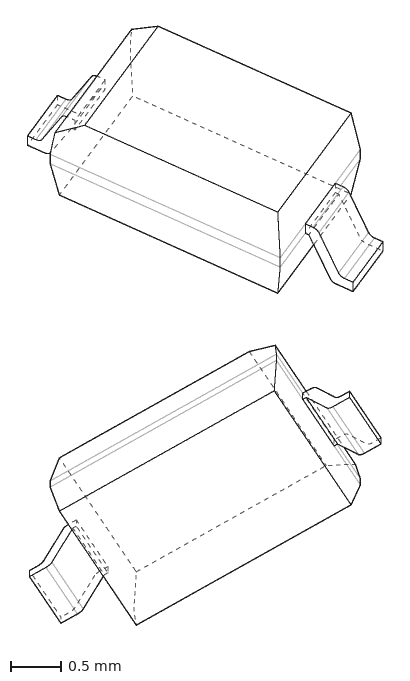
import cadquery as cq
import math

overall_length = 3.75
overall_height = 1.35

strip_thickness = 0.15
lead_width = 0.6
lead_top = 0.74
lead_slope_angle = 65.7
foot_corner_reach = 0.145
bend_radius = 0.075

housing_length = 2.65
housing_width = 1.6
housing_bottom = 0.055
taper_inset = 0.068
band_bottom = lead_top - strip_thickness

bevel_reach = 0.36
bevel_drop = 0.285
bevel_inset = taper_inset * (overall_height - bevel_drop - lead_top) / (overall_height - lead_top)


def make_tapered_half(start_z, end_z):
    """Block that narrows evenly from the band rectangle to its end face."""
    return (
        cq.Workplane("XY", origin=(0, 0, start_z))
        .rect(housing_length, housing_width)
        .workplane(offset=end_z - start_z)
        .rect(housing_length - 2 * taper_inset, housing_width - 2 * taper_inset)
        .loft(ruled=True)
    )


def make_bevel_cutter():
    """Wedge whose sloping face passes through both edges of the bevel."""
    end_x = -housing_length / 2
    slope = bevel_drop / (bevel_reach - bevel_inset)
    return (
        cq.Workplane("XZ")
        .moveTo(end_x + bevel_reach, overall_height)
        .lineTo(end_x, overall_height - slope * bevel_reach)
        .lineTo(end_x, overall_height)
        .close()
        .extrude(housing_width / 2, both=True)
    )


def make_housing():
    band = (
        cq.Workplane("XY", origin=(0, 0, band_bottom))
        .rect(housing_length, housing_width)
        .extrude(strip_thickness)
    )
    upper = make_tapered_half(lead_top, overall_height)
    lower = make_tapered_half(band_bottom, housing_bottom)
    return band.union(upper).union(lower).cut(make_bevel_cutter())


def make_lead():
    """Lead on the -X end, from its tip to the housing's end face."""
    tip_x = -overall_length / 2
    root_x = -housing_length / 2
    angle = math.radians(lead_slope_angle)

    foot_corner_x = tip_x + foot_corner_reach
    shoulder_x = foot_corner_x + (lead_top - strip_thickness) / math.tan(angle)
    corner_shift = strip_thickness * math.tan(angle / 2)

    lead = (
        cq.Workplane("XZ")
        .moveTo(tip_x, 0)
        .lineTo(foot_corner_x + corner_shift, 0)
        .lineTo(shoulder_x + corner_shift, band_bottom)
        .lineTo(root_x, band_bottom)
        .lineTo(root_x, lead_top)
        .lineTo(shoulder_x, lead_top)
        .lineTo(foot_corner_x, strip_thickness)
        .lineTo(tip_x, strip_thickness)
        .close()
        .extrude(lead_width / 2, both=True)
    )

    rounded_corners = (
        (foot_corner_x + corner_shift, 0),
        (shoulder_x, lead_top),
        (foot_corner_x, strip_thickness),
    )
    for x, z in rounded_corners:
        lead = lead.edges(cq.selectors.NearestToPointSelector((x, 0, z))).fillet(bend_radius)
    return lead


housing = make_housing()
leads = []
for turn in (0, 180):
    leads.append(make_lead().rotate((0, 0, 0), (0, 0, 1), turn))

result = cq.Compound.makeCompound([housing.val(), *[lead.val() for lead in leads]])